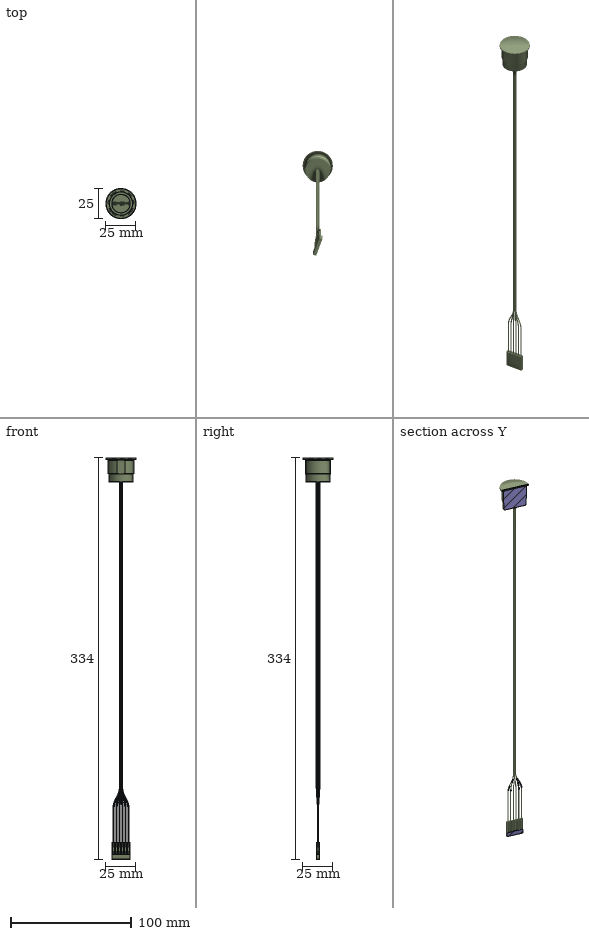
import cadquery as cq
import math

TOP = 334.0

FLANGE_DIAMETER = 25.0
FLANGE_THICKNESS = 1.5
BARREL_DIAMETER = 20.5
HOUSING_HEIGHT = 20.0
COLLAR_DIAMETER = 21.7
COLLAR_HEIGHT = 12.0
FLAT_WIDTH = 7.0

RING_DIAMETER = 19.5
BUTTON_DIAMETER = 15.5
INSERT_DEPTH = 1.0

WIRE_COUNT = 6
WIRE_DIAMETER = 1.0
BUNDLE_RADIUS = 0.97
WIRE_PITCH = 2.5
FAN_TOP = 60.0
FAN_BOTTOM = 41.8
CONDUCTOR_DIAMETER = 0.7
CONDUCTOR_GAP = 0.5

CONNECTOR_WIDTH = WIRE_COUNT * WIRE_PITCH
CONNECTOR_THICKNESS = 2.7
CONNECTOR_HEIGHT = 14.0
POCKET_SIZE = 2.0
POCKET_DEPTH = 10.0

housing_bottom = TOP - HOUSING_HEIGHT
flange_bottom = TOP - FLANGE_THICKNESS
insert_bottom = TOP - INSERT_DEPTH
insulation_end = CONNECTOR_HEIGHT + CONDUCTOR_GAP
pocket_floor = CONNECTOR_HEIGHT - POCKET_DEPTH


def disc(diameter, bottom, top):
    return cq.Workplane("XY", origin=(0, 0, bottom)).circle(diameter / 2).extrude(top - bottom)


def make_collar():
    """Collar with chamfered rims and a flat on its -Y and +Y sides."""
    bottom = flange_bottom - COLLAR_HEIGHT
    rim_chamfer = (COLLAR_DIAMETER - BARREL_DIAMETER) / 2
    collar = disc(COLLAR_DIAMETER, bottom, flange_bottom).edges("%CIRCLE").chamfer(rim_chamfer)
    flat_distance = math.sqrt((COLLAR_DIAMETER / 2) ** 2 - (FLAT_WIDTH / 2) ** 2)
    between_flats = (
        cq.Workplane("XY", origin=(0, 0, bottom))
        .rect(COLLAR_DIAMETER, 2 * flat_distance)
        .extrude(COLLAR_HEIGHT)
    )
    return collar.intersect(between_flats)


def make_housing():
    flange = disc(FLANGE_DIAMETER, flange_bottom, TOP)
    barrel = disc(BARREL_DIAMETER, housing_bottom, flange_bottom)
    recess = disc(RING_DIAMETER, insert_bottom, TOP)
    return flange.union(barrel).union(make_collar()).cut(recess)


def make_button():
    return disc(BUTTON_DIAMETER, insert_bottom, TOP)


def make_ring():
    return disc(RING_DIAMETER, insert_bottom, TOP).cut(make_button())


def row_x(index):
    """X of a wire in the flat row above the connector."""
    return (index - (WIRE_COUNT - 1) / 2) * WIRE_PITCH


def bundle_point(index):
    """X and Y of a wire on the bundle circle, counted in pairs from -X to +X."""
    pair, back = divmod(index, 2)
    angle = math.radians(210 + 60 * pair)
    side = -1 if back else 1
    return BUNDLE_RADIUS * math.cos(angle), side * BUNDLE_RADIUS * math.sin(angle)


def make_wire(index):
    """One insulated wire from the housing, its bare end reaching the floor of a connector pocket."""
    x, y = bundle_point(index)
    start = cq.Vector(x, y, housing_bottom)
    fan_start = cq.Vector(x, y, FAN_TOP)
    fan_end = cq.Vector(row_x(index), 0, FAN_BOTTOM)
    end = cq.Vector(row_x(index), 0, insulation_end)
    down = cq.Vector(0, 0, -1)
    path = cq.Wire.assembleEdges(
        [
            cq.Edge.makeLine(start, fan_start),
            cq.Edge.makeSpline([fan_start, fan_end], [down, down]),
            cq.Edge.makeLine(fan_end, end),
        ]
    )
    insulation = cq.Workplane("XY", origin=start.toTuple()).circle(WIRE_DIAMETER / 2).sweep(path)
    conductor = disc(CONDUCTOR_DIAMETER, pocket_floor, insulation_end)
    return insulation.union(conductor.translate((row_x(index), 0, 0)))


def make_harness():
    """All the wires, merged along the bundle into one body."""
    harness = make_wire(0)
    for index in range(1, WIRE_COUNT):
        harness = harness.union(make_wire(index))
    return harness


def make_connector():
    block = cq.Workplane("XY").rect(CONNECTOR_WIDTH, CONNECTOR_THICKNESS).extrude(CONNECTOR_HEIGHT)
    pockets = (
        cq.Workplane("XY", origin=(0, 0, pocket_floor))
        .rarray(WIRE_PITCH, 3.5, WIRE_COUNT, 1)
        .rect(POCKET_SIZE, POCKET_SIZE)
        .extrude(POCKET_DEPTH)
    )
    return block.cut(pockets)


housing = make_housing()
ring = make_ring()
button = make_button()
harness = make_harness()
connector = make_connector()

result = cq.Compound.makeCompound(
    [housing.val(), ring.val(), button.val(), *harness.vals(), connector.val()]
)